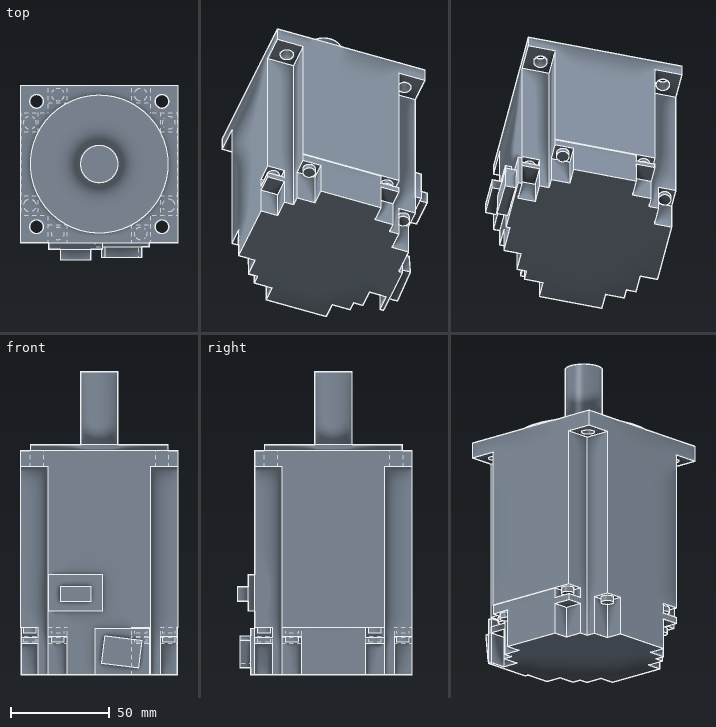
import cadquery as cq
import math

side = 80.0
overall_height = 153.8
shaft_length = 40.0
shaft_diameter = 19.0
pilot_diameter = 70.0
pilot_height = 3.0
flange_thickness = 8.0
flange_top = overall_height - shaft_length
flange_bottom = flange_top - flange_thickness

bolt_circle_diameter = 90.0
bolt_hole_diameter = 6.8
bolt_offset = bolt_circle_diameter / 2 * math.cos(math.radians(45))

notch_inner = 26.0
cover_height = 24.1
cover_width = 79.2
cover_depth = 80.0

pocket_inner = 31.0
pocket_end = 16.3
open_pocket_top = 19.5
tab_bottom = 15.8
tab_top = 19.0
screw_diameter = 6.4
screw_head_height = 2.8
screw_radial = 35.25
screw_lateral = 21.0

front_face = -side / 2
upper_plate_left = -25.7
upper_plate_right = 1.7
upper_plate_bottom = 32.3
upper_plate_top = 50.8
upper_plate_thickness = 3.3
upper_block_width = 15.5
upper_block_height = 7.5
upper_block_center = (-12.0, 41.0)
upper_block_reach = 8.8

lower_plate_left = -2.1
lower_plate_right = 25.5
lower_plate_top = 23.6
lower_plate_thickness = 2.0
lower_block_width = 19.0
lower_block_height = 14.0
lower_block_center = (11.4, 11.6)
lower_block_tilt = 7.0
lower_block_reach = 7.5


def box_between(low, high):
    """Axis-aligned box from its lowest corner to its highest corner."""
    size = [b - a for a, b in zip(low, high)]
    return cq.Workplane("XY").box(*size, centered=False).translate(low)


def centered_slab(width, depth, bottom, top):
    """Slab centered on the shaft axis."""
    return box_between((-width / 2, -depth / 2, bottom), (width / 2, depth / 2, top))


def cross_block(width, depth, bottom, top):
    """Slab with a square notch in each corner."""
    across = centered_slab(width, 2 * notch_inner, bottom, top)
    along = centered_slab(2 * notch_inner, depth, bottom, top)
    return across.union(along)


def quarter_turns(shape):
    """The shape repeated every 90 degrees about the shaft axis."""
    pattern = shape
    for quarter in range(1, 4):
        pattern = pattern.union(shape.rotate((0, 0, 0), (0, 0, 1), 90 * quarter))
    return pattern


def left_pocket(y_low, y_high, bottom, top):
    """Cutter for a screw pocket in the -X side of the rear cover."""
    return box_between((-side / 2, y_low, bottom), (-pocket_inner, y_high, top))


def left_screw(y, top):
    """Screw head hanging down from the roof of a pocket in the -X side."""
    head = cq.Workplane("XY").circle(screw_diameter / 2).extrude(screw_head_height)
    return head.translate((-screw_radial, y, top - screw_head_height))


def make_rear_cover():
    """Notched cover with an open and a tabbed screw pocket on every side."""
    cover = cross_block(cover_width, cover_depth, 0, cover_height)
    open_pocket = left_pocket(pocket_end, notch_inner, 0, open_pocket_top)
    below_tab = left_pocket(-notch_inner, -pocket_end, 0, tab_bottom)
    above_tab = left_pocket(-notch_inner, -pocket_end, tab_top, cover_height)
    pockets = open_pocket.union(below_tab).union(above_tab)
    screws = left_screw(screw_lateral, open_pocket_top).union(left_screw(-screw_lateral, cover_height))
    return cover.cut(quarter_turns(pockets)).union(quarter_turns(screws))


def make_flange():
    """Square mounting flange with its bolt holes, pilot disc and shaft."""
    plate = centered_slab(side, side, flange_bottom, flange_top)
    holes = (
        cq.Workplane("XY", origin=(0, 0, flange_bottom))
        .rect(2 * bolt_offset, 2 * bolt_offset, forConstruction=True)
        .vertices()
        .circle(bolt_hole_diameter / 2)
        .extrude(flange_thickness)
    )
    face = cq.Workplane("XY", origin=(0, 0, flange_top))
    pilot = face.circle(pilot_diameter / 2).extrude(pilot_height)
    shaft = face.circle(shaft_diameter / 2).extrude(shaft_length)
    return plate.cut(holes).union(pilot).union(shaft)


def front_plate(left, right, bottom, top, thickness):
    """Plate lying on the -Y face."""
    return box_between((left, front_face - thickness, bottom), (right, front_face, top))


def front_block(center, width, height, reach, tilt=0):
    """Block standing out from the -Y face, turned clockwise by tilt degrees."""
    block = cq.Workplane("XZ").rect(width, height).extrude(reach)
    turned = block.rotate((0, 0, 0), (0, 1, 0), tilt)
    return turned.translate((center[0], front_face, center[1]))


def make_upper_connector():
    plate = front_plate(
        upper_plate_left, upper_plate_right, upper_plate_bottom, upper_plate_top, upper_plate_thickness
    )
    block = front_block(upper_block_center, upper_block_width, upper_block_height, upper_block_reach)
    return plate.union(block)


def make_lower_connector():
    plate = front_plate(lower_plate_left, lower_plate_right, 0, lower_plate_top, lower_plate_thickness)
    block = front_block(
        lower_block_center, lower_block_width, lower_block_height, lower_block_reach, lower_block_tilt
    )
    return plate.union(block)


housing = cross_block(side, side, cover_height, flange_bottom)
result = (
    housing.union(make_rear_cover())
    .union(make_flange())
    .union(make_upper_connector())
    .union(make_lower_connector())
)